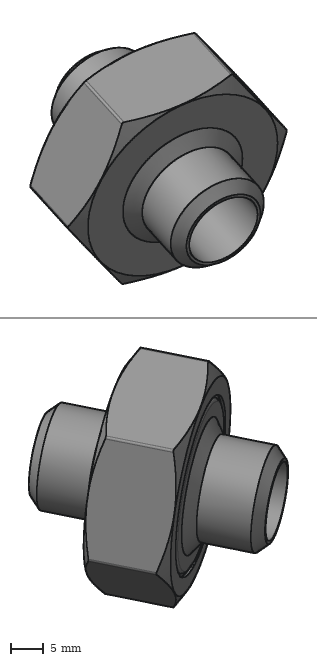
import cadquery as cq
import math

LENGTH = 38.0
BORE_RADIUS = 6.3
PIPE_RADIUS = 8.58
PIPE_CHAMFER = 1.77

LEFT_STUB_LENGTH = 10.5
RIGHT_STUB_LENGTH = 10.0
SHOULDER_RADIUS = 11.0

NUT_START = 12.25
NUT_WIDTH = 14.0
ROUNDED_CORNER_SPAN = 40.25
CORNER_FILLET = 0.5
NUT_FACE_RADIUS = 17.45
NUT_CHAMFER_ANGLE = 30

GAP_OUTER_RADIUS = 14.45
GAP_INNER_RADIUS = 13.95
GAP_DEPTH = 0.5

NUT_END = NUT_START + NUT_WIDTH
RIGHT_STUB_START = LENGTH - RIGHT_STUB_LENGTH
FLATS_TO_CORNERS = 1 / math.cos(math.pi / 6)
CORNER_LOSS = CORNER_FILLET * (FLATS_TO_CORNERS - 1)
ACROSS_CORNERS = ROUNDED_CORNER_SPAN + 2 * CORNER_LOSS


def revolve_about_x(profile):
    """Turn an (x, radius) profile a full turn around the X axis."""
    return profile.close().revolve(360, (0, 0, 0), (1, 0, 0))


def make_pipe():
    """Both stubs with their end chamfers and the shoulders up to the nut."""
    tip_radius = PIPE_RADIUS - PIPE_CHAMFER
    profile = cq.Workplane("XY").polyline([
        (0, 0),
        (0, tip_radius),
        (PIPE_CHAMFER, PIPE_RADIUS),
        (LEFT_STUB_LENGTH, PIPE_RADIUS),
        (NUT_START, SHOULDER_RADIUS),
        (NUT_END, SHOULDER_RADIUS),
        (RIGHT_STUB_START, PIPE_RADIUS),
        (LENGTH - PIPE_CHAMFER, PIPE_RADIUS),
        (LENGTH, tip_radius),
        (LENGTH, 0),
    ])
    return revolve_about_x(profile)


def make_nut():
    """Hexagon with rounded corners, chamfered conically on both faces."""
    hexagon = (
        cq.Workplane("YZ", origin=(NUT_START, 0, 0))
        .polygon(6, ACROSS_CORNERS)
        .extrude(NUT_WIDTH)
        .edges("|X")
        .fillet(CORNER_FILLET)
    )
    rim_radius = ACROSS_CORNERS / 2
    chamfer_depth = (rim_radius - NUT_FACE_RADIUS) * math.tan(math.radians(NUT_CHAMFER_ANGLE))
    envelope = cq.Workplane("XY").polyline([
        (NUT_START, 0),
        (NUT_START, NUT_FACE_RADIUS),
        (NUT_START + chamfer_depth, rim_radius),
        (NUT_END - chamfer_depth, rim_radius),
        (NUT_END, NUT_FACE_RADIUS),
        (NUT_END, 0),
    ])
    return hexagon.intersect(revolve_about_x(envelope))


def make_ring_gap():
    """Ring groove whose inner wall is a quarter round, as deep as its radius."""
    profile = (
        cq.Workplane("XY")
        .moveTo(NUT_START, GAP_OUTER_RADIUS)
        .lineTo(NUT_START + GAP_DEPTH, GAP_OUTER_RADIUS)
        .lineTo(NUT_START + GAP_DEPTH, GAP_INNER_RADIUS)
        .radiusArc((NUT_START, GAP_INNER_RADIUS - GAP_DEPTH), -GAP_DEPTH)
    )
    return revolve_about_x(profile)


bore = cq.Workplane("YZ").circle(BORE_RADIUS).extrude(LENGTH)

result = make_nut().cut(make_ring_gap()).union(make_pipe()).cut(bore)